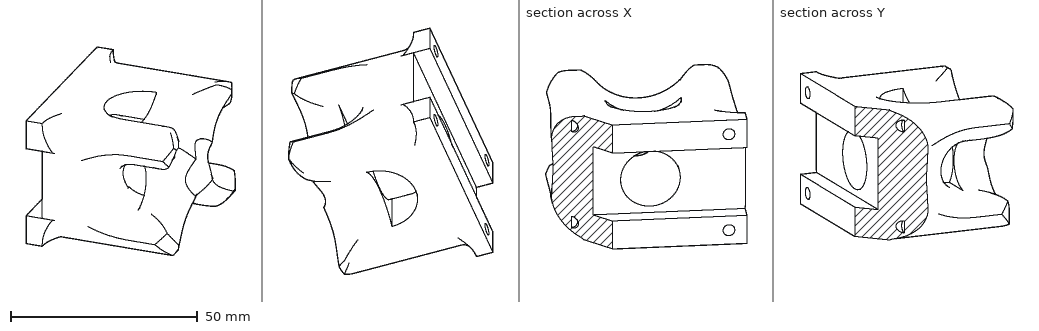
import cadquery as cq
import math


body_width = 51.3
body_height = 36.2
rear_y = 41.85
edge_radius = 10.0

rail_width = 51.0
rail_height = 8.2
rail_depth = 4.7
rail_blend_radius = 3.55

screw_diameter = 3.15
screw_depth = 10.0
screw_spacing = 41.3

bore_radius = 8.05
tube_radius = 10.5

trough_floor = 11.0
flare_radius = 10.0
top_trough_radius = 14.55
top_lip_radius = 10.0
top_end_y = 23.3
side_trough_radius = 6.95
side_lip_radius = 10.0
side_end_y = 28.85

blunt_tip_radius = 9.2
slender_tip_radius = 6.1
top_tip_radius = 4.75

turn_angle = -45.0
clearance = 3.15

flare_start_y = rear_y - flare_radius
rail_z = body_height / 2 - rail_height / 2


def about_y(angle):
    """Arguments for a rotation about the central Y axis."""
    return (0, 0, 0), (0, 1, 0), angle


def box(x0, x1, y0, y1, z0, z1):
    """Box between two opposite corners."""
    return cq.Workplane("XY").box(x1 - x0, y1 - y0, z1 - z0, centered=False).translate((x0, y0, z0))


def cylinder_y(radius, y0, y1, x=0.0, z=0.0):
    """Cylinder along Y from y0 to y1."""
    return cq.Workplane("XZ", origin=(x, y0, z)).circle(radius).extrude(y0 - y1)


def rounded_body():
    """Block with its four long edges rounded, behind the rails."""
    block = box(-body_width / 2, body_width / 2, rail_depth, rear_y, -body_height / 2, body_height / 2)
    return block.edges("|Y").fillet(edge_radius)


def rail():
    """Upper rail with a square front; its corners blend into the rounded edges behind."""
    z_low = body_height / 2 - rail_height
    blend_end = rail_depth + rail_blend_radius
    block = box(-rail_width / 2, rail_width / 2, 0, blend_end, z_low, body_height / 2)
    arc_x = body_width / 2 - edge_radius
    arc_z = body_height / 2 - edge_radius
    outer = edge_radius + rail_blend_radius
    reach = outer + edge_radius
    groove = (
        cq.Workplane("XY")
        .moveTo(edge_radius, blend_end)
        .radiusArc((outer, rail_depth), -rail_blend_radius)
        .lineTo(reach, rail_depth)
        .lineTo(reach, blend_end + clearance)
        .lineTo(edge_radius, blend_end + clearance)
        .close()
        .revolve(360, (0, 0, 0), (0, 1, 0))
    )
    corner = box(0, reach, 0, blend_end + clearance, -edge_radius, reach)
    corner_cutter = groove.intersect(corner).translate((arc_x, 0, arc_z))
    return block.cut(corner_cutter).cut(corner_cutter.mirror("YZ"))


def trough_cutters(half_height, trough_radius, lip_radius, end_y):
    """Cutters for the upper side: a lipped trough with a round front pocket, and its rear flare."""
    axis_z = trough_floor + trough_radius
    lip_z = half_height - lip_radius
    lip_x = math.sqrt((trough_radius + lip_radius) ** 2 - (axis_z - lip_z) ** 2)
    share = trough_radius / (trough_radius + lip_radius)
    touch_x = lip_x * share
    touch_z = axis_z + (lip_z - axis_z) * share
    middle_angle = (math.pi / 2 + math.atan2(touch_z - lip_z, touch_x - lip_x)) / 2
    middle_x = lip_x + lip_radius * math.cos(middle_angle)
    middle_z = lip_z + lip_radius * math.sin(middle_angle)
    roof = half_height + clearance

    section = (
        cq.Workplane("XZ", origin=(0, end_y, 0))
        .moveTo(-lip_x, roof)
        .lineTo(-lip_x, half_height)
        .threePointArc((-middle_x, middle_z), (-touch_x, touch_z))
        .threePointArc((0, trough_floor), (touch_x, touch_z))
        .threePointArc((middle_x, middle_z), (lip_x, half_height))
        .lineTo(lip_x, roof)
        .close()
    )
    trough = section.extrude(end_y - rear_y - clearance)

    flare_outer = trough_radius + flare_radius
    flare = (
        cq.Workplane("XY")
        .moveTo(0, flare_start_y)
        .lineTo(trough_radius, flare_start_y)
        .radiusArc((flare_outer, rear_y), flare_radius)
        .lineTo(flare_outer, rear_y + clearance)
        .lineTo(0, rear_y + clearance)
        .close()
        .revolve(360, (0, 0, 0), (0, 1, 0))
        .translate((0, 0, axis_z))
    )

    pocket = (
        cq.Workplane("XZ")
        .moveTo(0, 0)
        .lineTo(touch_x, 0)
        .lineTo(touch_x, touch_z)
        .threePointArc((middle_x, middle_z), (lip_x, half_height))
        .lineTo(lip_x, roof)
        .lineTo(0, roof)
        .close()
        .revolve(180, (0, 0, 0), (0, -1, 0))
        .translate((0, end_y, 0))
    )
    return trough.union(pocket), flare


def rear_round_cutter(radius, side_x, height):
    """Cutter rounding the rear edge of the +X side, from the middle plane down."""
    return (
        cq.Workplane("XY")
        .moveTo(side_x, rear_y - radius)
        .radiusArc((side_x - radius, rear_y), -radius)
        .lineTo(side_x - radius, rear_y + clearance)
        .lineTo(side_x + clearance, rear_y + clearance)
        .lineTo(side_x + clearance, rear_y - radius)
        .close()
        .extrude(-height)
    )


upper_rail = rail()
part = rounded_body().union(upper_rail).union(upper_rail.mirror("XY"))

top_cutters = trough_cutters(body_height / 2, top_trough_radius, top_lip_radius, top_end_y)
side_cutters = trough_cutters(body_width / 2, side_trough_radius, side_lip_radius, side_end_y)
for cutters, first_angle in ((top_cutters, 0), (side_cutters, 90)):
    for cutter in cutters:
        for angle in (first_angle, first_angle + 180):
            part = part.cut(cutter.rotate(*about_y(angle)))

blunt_tip = rear_round_cutter(blunt_tip_radius, body_width / 2, body_height)
slender_tip = rear_round_cutter(slender_tip_radius, body_width / 2, body_height).mirror("XY")
half_top_edge = rear_round_cutter(top_tip_radius, body_height / 2, body_width).rotate(*about_y(-90))
top_edge = half_top_edge.union(half_top_edge.mirror("YZ"))
for cutter in (blunt_tip, slender_tip, top_edge):
    part = part.cut(cutter).cut(cutter.rotate(*about_y(180)))

part = part.union(cylinder_y(tube_radius, rail_depth, flare_start_y))
part = part.cut(cylinder_y(bore_radius, -clearance, rear_y + clearance))
for x in (-screw_spacing / 2, screw_spacing / 2):
    for z in (-rail_z, rail_z):
        part = part.cut(cylinder_y(screw_diameter / 2, 0, screw_depth, x, z))

result = part.rotate((0, 0, 0), (0, 0, 1), turn_angle)